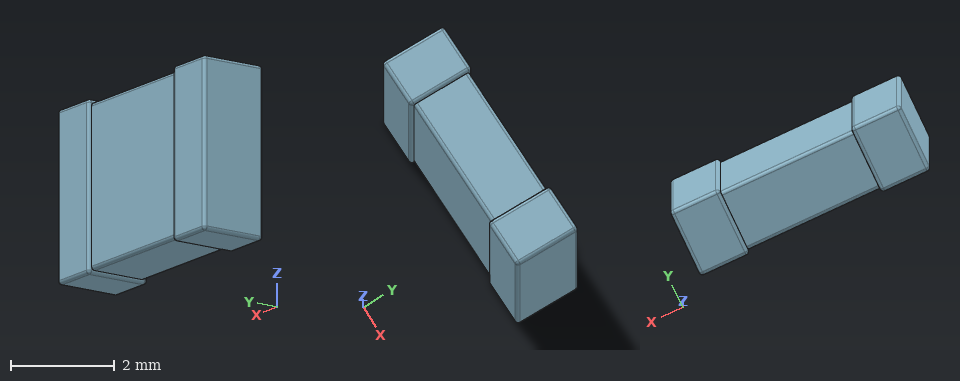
import cadquery as cq

overall_length = 4.9
terminal_depth = 1.4
terminal_height = 3.5

terminal_length = 1.05
edge_radius = 0.075

core_step = edge_radius
core_length = overall_length - 2 * terminal_length
core_depth = terminal_depth - 2 * core_step
core_height = terminal_height - 2 * core_step


def make_core():
    """Central block between the terminals, rounded along its four long edges."""
    block = cq.Workplane("XY").box(core_length, core_depth, core_height)
    return block.edges("|X").fillet(edge_radius)


def make_terminal(side):
    """End block with every edge rounded; side is -1 for the -X end and +1 for the +X end."""
    block = cq.Workplane("XY").box(terminal_length, terminal_depth, terminal_height)
    center_x = side * (overall_length - terminal_length) / 2
    return block.edges().fillet(edge_radius).translate((center_x, 0, 0))


core = make_core()
terminals = [make_terminal(side) for side in (-1, 1)]

result = cq.Compound.makeCompound([core.val(), *[terminal.val() for terminal in terminals]])